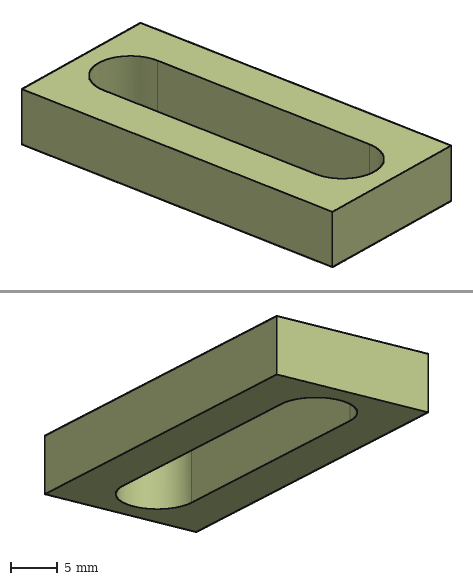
import cadquery as cq

plate_length = 44.0
plate_width = 20.0
plate_thickness = 6.8

slot_width = 9.0
end_wall = 2.5
slot_length = plate_length - 2 * end_wall


def make_plate():
    """Plate centred on X and Y, standing on Z = 0."""
    return cq.Workplane("XY").box(
        plate_length, plate_width, plate_thickness, centered=(True, True, False)
    )


def cut_slot(plate):
    """Cut the lengthwise slot through the full thickness."""
    return plate.faces(">Z").workplane().slot2D(slot_length, slot_width).cutThruAll()


result = cut_slot(make_plate())